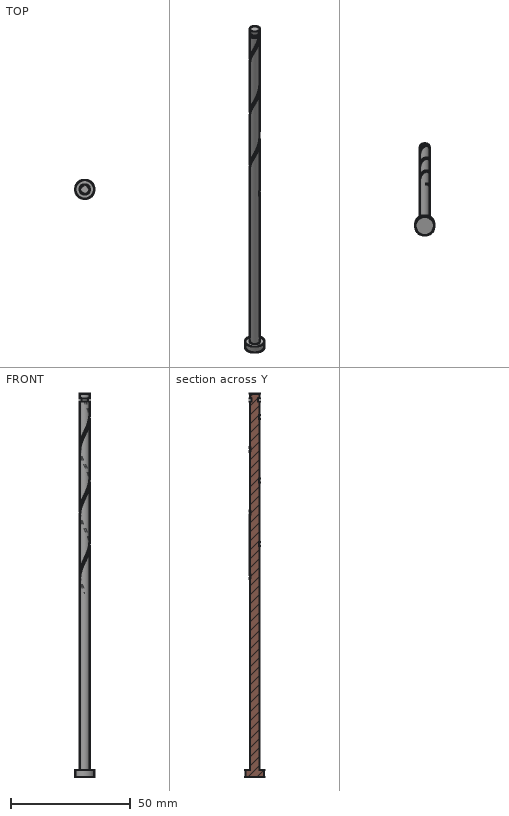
import cadquery as cq

total_length = 160.0
head_diameter = 8.0
head_height = 3.0
shaft_diameter = 4.2

ring_diameter = 2.8
ring_width = 1.2
tip_length = 2.0

spiral_turns = 3
spiral_pitch = 26.5
spiral_length = spiral_turns * spiral_pitch
spiral_width = 1.6
spiral_depth = 0.2
cutter_overlap = 0.2

shaft_radius = shaft_diameter / 2
ring_top = total_length - tip_length
ring_bottom = ring_top - ring_width
spiral_start = ring_bottom - spiral_length


def cylinder(diameter, bottom, top):
    return cq.Workplane("XY").workplane(offset=bottom).circle(diameter / 2).extrude(top - bottom)


def make_pin():
    head = cylinder(head_diameter, 0, head_height)
    shaft = cylinder(shaft_diameter, 0, ring_bottom)
    neck = cylinder(ring_diameter, 0, ring_top)
    tip = cylinder(shaft_diameter, ring_top, total_length)
    return head.union(shaft).union(neck).union(tip)


def make_spiral_cutter():
    """Rectangular section swept along a helix that starts on the +Y side."""
    helix = cq.Wire.makeHelix(spiral_pitch, spiral_length, shaft_radius)
    section_centre = shaft_radius + (cutter_overlap - spiral_depth) / 2
    cutter = (
        cq.Workplane("XZ")
        .center(section_centre, 0)
        .rect(spiral_depth + cutter_overlap, spiral_width)
        .sweep(cq.Workplane(obj=helix), isFrenet=True)
    )
    return cutter.rotate((0, 0, 0), (0, 0, 1), 90).translate((0, 0, spiral_start))


result = make_pin().cut(make_spiral_cutter())